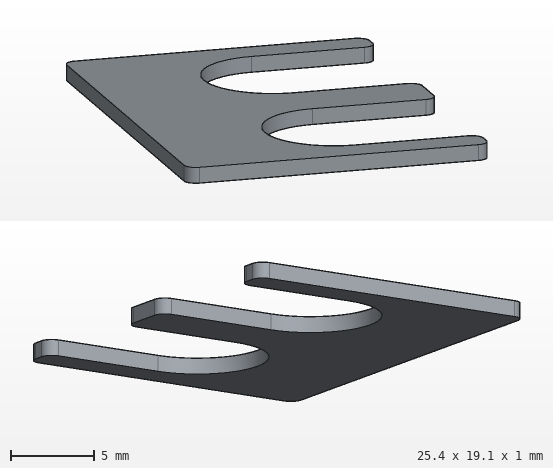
import cadquery as cq

length = 25.4
depth = 19.05
thickness = 1.0
corner_radius = 0.74

slot_width = 8.64
slot_pitch = 12.47
slot_floor = 6.85

slot_radius = slot_width / 2
arc_center_y = slot_floor + slot_radius - depth / 2


def slot_cutter(center_x):
    """Solid U shape running from the rounded slot end to the +Y edge."""
    return (
        cq.Workplane("XY")
        .moveTo(center_x - slot_radius, depth / 2)
        .lineTo(center_x - slot_radius, arc_center_y)
        .threePointArc(
            (center_x, arc_center_y - slot_radius),
            (center_x + slot_radius, arc_center_y),
        )
        .lineTo(center_x + slot_radius, depth / 2)
        .close()
        .extrude(thickness)
    )


plate = cq.Workplane("XY").box(length, depth, thickness, centered=(True, True, False))
for side in (-1, 1):
    plate = plate.cut(slot_cutter(side * slot_pitch / 2))

result = plate.edges("|Z and (<Y or >Y)").fillet(corner_radius)